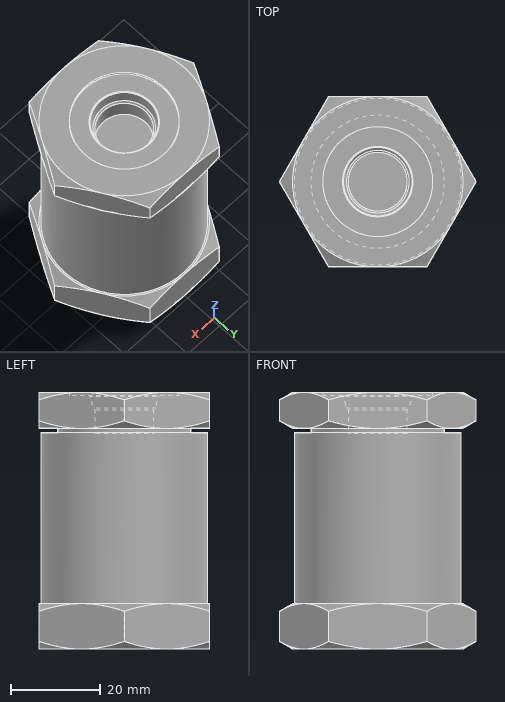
import cadquery as cq
import math

total_height = 57.4
across_flats = 38.1
across_corners = across_flats / math.cos(math.radians(30))

lower_hex_height = 10.15
upper_hex_height = 8.1
neck_height = 0.9
neck_diameter = 29.8
barrel_diameter = 37.3
barrel_height = total_height - lower_hex_height - neck_height - upper_hex_height

corner_slope = 30.0

recess_diameter = 24.55
recess_depth = 0.75
entry_diameter = 15.7
lip_diameter = 15.3
lip_height = 0.2
taper_end_diameter = 14.0
taper_end_depth = 3.5
bore_diameter = 13.15
cone_height = 0.45
bore_depth = 9.2


def chamfered_hexagon(base_z, height):
    """Hexagon with corners on the X axis, cut by a cone at both ends."""
    corner_radius = across_corners / 2
    flat_radius = across_flats / 2
    drop = (corner_radius - flat_radius) * math.tan(math.radians(corner_slope))
    envelope = (
        cq.Workplane("XZ")
        .polyline([
            (0, 0),
            (flat_radius, 0),
            (corner_radius, drop),
            (corner_radius, height - drop),
            (flat_radius, height),
            (0, height),
        ])
        .close()
        .revolve(360, (0, 0), (0, 1))
    )
    prism = cq.Workplane("XY").polygon(6, across_corners).extrude(height)
    return prism.intersect(envelope).translate((0, 0, base_z))


def cylinder(base_z, diameter, height):
    """Upright cylinder centred on the Z axis."""
    return cq.Workplane("XY").workplane(offset=base_z).circle(diameter / 2).extrude(height)


def stepped_bore():
    """Revolved shape of the shallow recess and the tapered blind bore below it."""
    return (
        cq.Workplane("XZ", origin=(0, 0, total_height))
        .polyline([
            (0, 0),
            (recess_diameter / 2, 0),
            (recess_diameter / 2, -recess_depth),
            (entry_diameter / 2, -recess_depth),
            (lip_diameter / 2, -recess_depth - lip_height),
            (taper_end_diameter / 2, -taper_end_depth),
            (bore_diameter / 2, -taper_end_depth - cone_height),
            (bore_diameter / 2, -bore_depth),
            (0, -bore_depth),
        ])
        .close()
        .revolve(360, (0, 0), (0, 1))
    )


upper_hex_base = total_height - upper_hex_height
neck_base = upper_hex_base - neck_height

result = (
    chamfered_hexagon(0, lower_hex_height)
    .union(cylinder(lower_hex_height, barrel_diameter, barrel_height))
    .union(cylinder(neck_base, neck_diameter, neck_height))
    .union(chamfered_hexagon(upper_hex_base, upper_hex_height))
    .cut(stepped_bore())
)